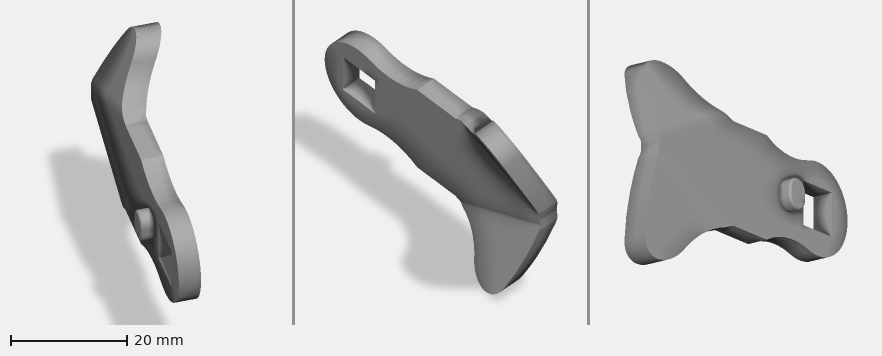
import cadquery as cq
import math

thickness = 4.0
head_radius = 8.5
square_side = 8.0

waist_radius = 15.0
waist_x = -7.0
shank_half_width = 9.45
shank_end_x = -24.05

flare_end = (-26.6, 10.45)
neck_middle = (-30.35, 12.15)
lobe_start = (-33.1, 15.4)
lobe_top = (-37.6, 18.0)
lobe_end = (-42.1, 14.9)
edge_middle = (-43.9, 9.8)
edge_end = (-45.3, 2.05)
notch_bottom = (-45.05, 0)

fold_start = (-45.2, 0.95)
fold_slope = 23.9
bend_angle = 27.2
bend_inner_radius = 0.5

pin_x = -8.65
pin_width = 4.45
pin_height = 5.7
pin_length = 2.35
pin_edge_radius = 0.5

reach = 64.6


def half_outline():
    """Upper half of the plate outline, extruded along Y."""
    center_distance = head_radius + waist_radius
    waist_z = math.sqrt(center_distance ** 2 - waist_x ** 2)
    to_head = head_radius / center_distance
    head_join = (waist_x * to_head, waist_z * to_head)
    waist_drop = waist_z - shank_half_width
    shank_start_x = waist_x - math.sqrt(waist_radius ** 2 - waist_drop ** 2)
    head_diagonal = head_radius * math.sqrt(0.5)
    return (
        cq.Workplane("XZ", origin=(0, -reach, 0))
        .moveTo(*notch_bottom)
        .lineTo(head_radius, 0)
        .threePointArc((head_diagonal, head_diagonal), head_join)
        .threePointArc((waist_x, waist_z - waist_radius), (shank_start_x, shank_half_width))
        .lineTo(shank_end_x, shank_half_width)
        .lineTo(*flare_end)
        .threePointArc(neck_middle, lobe_start)
        .threePointArc(lobe_top, lobe_end)
        .threePointArc(edge_middle, edge_end)
        .close()
        .extrude(-2 * reach)
    )


def bent_sheet():
    """Flat sheet with one bend, swept along the fold line."""
    slope = math.radians(fold_slope)
    bend = math.radians(bend_angle)
    center_y = thickness + bend_inner_radius
    outer_radius = center_y

    def on_bend(radius, angle):
        return (radius * math.sin(angle), center_y - radius * math.cos(angle))

    def along_wing(point):
        return (point[0] + reach * math.cos(bend), point[1] + reach * math.sin(bend))

    front_end = on_bend(outer_radius, bend)
    back_end = on_bend(bend_inner_radius, bend)
    section = cq.Plane(
        origin=(fold_start[0], 0, fold_start[1]),
        xDir=(-math.sin(slope), 0, math.cos(slope)),
        normal=(-math.cos(slope), 0, -math.sin(slope)),
    )
    return (
        cq.Workplane(section)
        .moveTo(-reach, 0)
        .lineTo(0, 0)
        .threePointArc(on_bend(outer_radius, bend / 2), front_end)
        .lineTo(*along_wing(front_end))
        .lineTo(*along_wing(back_end))
        .lineTo(*back_end)
        .threePointArc(on_bend(bend_inner_radius, bend / 2), (0, thickness))
        .lineTo(-reach, thickness)
        .close()
        .extrude(reach, both=True)
    )


def stop_pin():
    """Upright oval pin with a rounded front edge."""
    return (
        cq.Workplane("XZ")
        .center(pin_x, 0)
        .slot2D(pin_height, pin_width, 90)
        .extrude(pin_length)
        .faces("<Y")
        .edges()
        .fillet(pin_edge_radius)
    )


def square_hole():
    """Square drive hole through the head."""
    return cq.Workplane("XZ").rect(square_side, square_side).extrude(-thickness)


upper_half = half_outline().intersect(bent_sheet())
plate = upper_half.union(upper_half.mirror("XY"))
result = plate.cut(square_hole()).union(stop_pin())